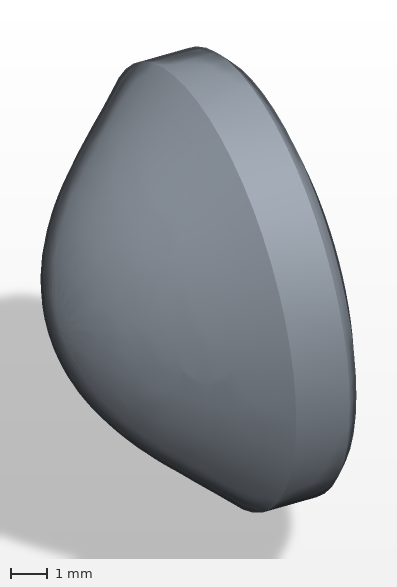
import cadquery as cq


lens_diameter = 12.7
center_thickness = 7.5
rim_width = 1.6
rim_chamfer = 0.35
sphere_sag = 1.26

vertex_radius = 4.75
fourth_order = 8.1e-4
sixth_order = -1.87e-5
asphere_segments = 12

lens_radius = lens_diameter / 2
cap_radius = lens_radius - rim_chamfer
sphere_radius = (cap_radius**2 + sphere_sag**2) / (2 * sphere_sag)

bevel_start_y = rim_width
bevel_end_y = bevel_start_y + rim_chamfer
back_vertex_y = bevel_end_y + sphere_sag
front_vertex_y = back_vertex_y - center_thickness


def asphere_sag(radius):
    """Depth of the aspheric face behind its vertex at a distance from the axis."""
    parabola = radius**2 / (2 * vertex_radius)
    return parabola + fourth_order * radius**4 + sixth_order * radius**6


def asphere_points():
    """Points along the aspheric face after the vertex, ending on the rim edge."""
    closing_scale = -front_vertex_y / asphere_sag(lens_radius)
    points = []
    for step in range(1, asphere_segments + 1):
        radius = lens_radius * step / asphere_segments
        points.append((radius, front_vertex_y + closing_scale * asphere_sag(radius)))
    return points


def sphere_midpoint():
    """Point on the spherical face halfway out from the axis to the bevel."""
    radius = cap_radius / 2
    sag = sphere_radius - (sphere_radius**2 - radius**2) ** 0.5
    return (radius, back_vertex_y - sag)


def rim_slope():
    """Rise of the aspheric face per unit radius where it meets the rim."""
    slope = lens_radius / vertex_radius
    return slope + 4 * fourth_order * lens_radius**3 + 6 * sixth_order * lens_radius**5


def lens_profile():
    """Closed half section of the lens in the XY plane, bounded by the optical axis."""
    return (
        cq.Workplane("XY")
        .moveTo(0, front_vertex_y)
        .spline(asphere_points(), tangents=[(1, 0), (1, rim_slope())], includeCurrent=True)
        .lineTo(lens_radius, bevel_start_y)
        .lineTo(cap_radius, bevel_end_y)
        .threePointArc(sphere_midpoint(), (0, back_vertex_y))
        .close()
    )


result = lens_profile().revolve(360, (0, 0, 0), (0, 1, 0))